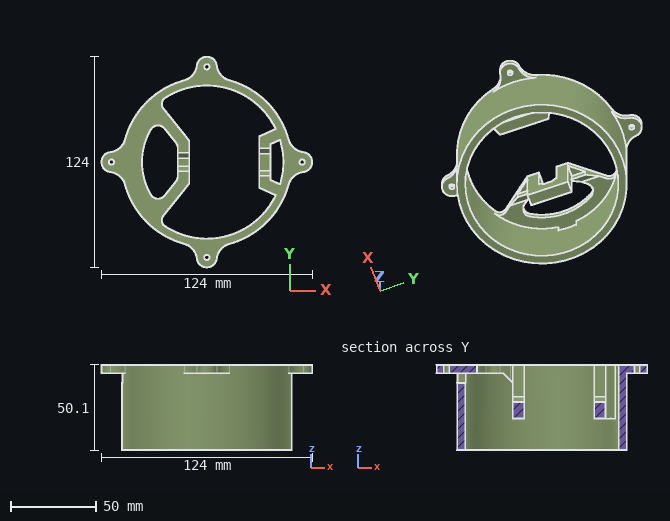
import cadquery as cq
import math

outer_radius = 50.0
inner_radius = 45.0
height = 50.1

overall_size = 124.0
ear_radius = 6.0
ear_blend_radius = 10.0
ear_thickness = 5.0
ear_hole_radius = 1.5
ear_center = overall_size / 2 - ear_radius

clip_thickness = 6.8
clip_depth = 31.5
slot_depth = 21.7
slot_chamfer = 3.1

left_face_x = -10.3
left_half_width = 12.6
left_slot_half_width = 5.5
left_arm_width = 7.0
left_arm_angle = math.radians(51.2)
web_thickness = ear_thickness
gusset_size = 5.5
web_fillet = 4.3
window_radius = 38.0
window_fillet = 5.0
window_corner_fillet = 6.0
left_back_x = left_face_x - clip_thickness

right_face_x = 30.7
right_half_width = 15.1
right_back_half_width = 10.5
right_slot_half_width = 8.0
right_arm_angle = math.radians(24.5)

wall_opening_half_width = 5.6
wall_opening_bottom = 10.5


def disk(radius, depth):
    return cq.Workplane("XY").circle(radius).extrude(-depth)


def flared_prism(tip_x, tip_half_width, angle, end_x, depth):
    """Trapezoid prism widening from the tip towards end_x."""
    end_half_width = tip_half_width + abs(end_x - tip_x) * math.tan(angle)
    outline = [
        (tip_x, tip_half_width),
        (end_x, end_half_width),
        (end_x, -end_half_width),
        (tip_x, -tip_half_width),
    ]
    return cq.Workplane("XY").polyline(outline).close().extrude(-depth)


def rim_crossing_x(tip_x, tip_half_width, angle, radius):
    """X where an edge slanting outward towards -X meets a circle around the origin."""
    normal_distance = tip_x * math.sin(angle) + tip_half_width * math.cos(angle)
    half_chord = math.sqrt(radius**2 - normal_distance**2)
    return normal_distance * math.sin(angle) - half_chord * math.cos(angle)


def ear():
    """Ear on the +X side, blended tangentially into the ring."""
    blend_to_ring = outer_radius + ear_blend_radius
    blend_to_ear = ear_radius + ear_blend_radius
    blend_x = (blend_to_ring**2 - blend_to_ear**2 + ear_center**2) / (2 * ear_center)
    blend_y = math.sqrt(blend_to_ring**2 - blend_x**2)
    ring_x = blend_x * outer_radius / blend_to_ring
    ring_y = blend_y * outer_radius / blend_to_ring
    tip_x = ear_center + (blend_x - ear_center) * ear_radius / blend_to_ear
    tip_y = blend_y * ear_radius / blend_to_ear
    mid_dx = (ring_x + tip_x) / 2 - blend_x
    mid_dy = (ring_y + tip_y) / 2 - blend_y
    mid_scale = ear_blend_radius / math.hypot(mid_dx, mid_dy)
    mid_x = blend_x + mid_dx * mid_scale
    mid_y = blend_y + mid_dy * mid_scale
    return (
        cq.Workplane("XY")
        .moveTo(ring_x, ring_y)
        .threePointArc((mid_x, mid_y), (tip_x, tip_y))
        .threePointArc((ear_center + ear_radius, 0), (tip_x, -tip_y))
        .threePointArc((mid_x, -mid_y), (ring_x, -ring_y))
        .lineTo(inner_radius, 0)
        .close()
        .extrude(-ear_thickness)
    )


def clip_slot(face_x, half_width):
    """Slot open at the top, with chamfered bottom corners, cut along X."""
    floor_half_width = half_width - slot_chamfer
    outline = [
        (-half_width, 0),
        (-half_width, slot_chamfer - slot_depth),
        (-floor_half_width, -slot_depth),
        (floor_half_width, -slot_depth),
        (half_width, slot_chamfer - slot_depth),
        (half_width, 0),
    ]
    return (
        cq.Workplane("YZ", origin=(face_x - clip_thickness, 0, 0))
        .polyline(outline)
        .close()
        .extrude(2 * clip_thickness)
    )


def left_web(depth):
    """Web with slanted arms, filleted into the ring and around its window."""
    full_disk = disk(outer_radius, depth)
    arms = flared_prism(left_face_x, left_half_width, left_arm_angle, -outer_radius, depth)
    opening = disk(inner_radius, depth).cut(arms)
    opening = opening.edges("|Z").edges("<X").fillet(web_fillet)

    window_half_width = (
        left_half_width
        + clip_thickness * math.tan(left_arm_angle)
        - left_arm_width / math.cos(left_arm_angle)
    )
    window = disk(window_radius, depth).intersect(
        flared_prism(left_back_x, window_half_width, left_arm_angle, -outer_radius, depth)
    )
    front_corners = window.edges("|Z").edges(">X").vals()
    window = window.newObject(front_corners).fillet(window_corner_fillet)
    arc_corner_x = rim_crossing_x(left_back_x, window_half_width, left_arm_angle, window_radius)
    arc_corner_y = math.sqrt(window_radius**2 - arc_corner_x**2)
    for corner_y in (-arc_corner_y, arc_corner_y):
        nearest = cq.selectors.NearestToPointSelector((arc_corner_x, corner_y, -depth / 2))
        window = window.edges("|Z").edges(nearest).fillet(window_fillet)
    return full_disk.cut(opening).cut(window)


def left_clip():
    web = left_web(web_thickness)
    gusset_profile = [
        (left_back_x, 0),
        (left_back_x, -web_thickness - gusset_size),
        (left_back_x - gusset_size, -web_thickness),
        (left_back_x - gusset_size, 0),
    ]
    gusset_zone = (
        cq.Workplane("XZ").polyline(gusset_profile).close().extrude(outer_radius, both=True)
    )
    gusset = left_web(web_thickness + gusset_size).intersect(gusset_zone)
    block = (
        cq.Workplane("XY", origin=(left_back_x, 0, -clip_depth))
        .box(clip_thickness, 2 * left_half_width, clip_depth, centered=(False, True, False))
    )
    return web.union(gusset).union(block).cut(clip_slot(left_face_x, left_slot_half_width))


def right_clip():
    body = flared_prism(right_face_x, right_half_width, right_arm_angle, outer_radius, clip_depth)
    window = flared_prism(
        right_face_x + clip_thickness, right_back_half_width, right_arm_angle, outer_radius, clip_depth
    )
    body = body.cut(window).intersect(disk(outer_radius, clip_depth))
    return body.cut(clip_slot(right_face_x, right_slot_half_width))


def wall_opening():
    length = outer_radius - window_radius
    opening_height = wall_opening_bottom - web_thickness
    return (
        cq.Workplane("XY", origin=(-outer_radius, 0, -wall_opening_bottom))
        .box(length, 2 * wall_opening_half_width, opening_height, centered=(False, True, False))
    )


ring = disk(outer_radius, height).cut(disk(inner_radius, height))
result = ring.union(left_clip()).union(right_clip())
for quarter in range(4):
    result = result.union(ear().rotate((0, 0, 0), (0, 0, 1), 90 * quarter))
ear_holes = (
    cq.Workplane("XY")
    .polarArray(ear_center, 0, 360, 4)
    .circle(ear_hole_radius)
    .extrude(-ear_thickness)
)
result = result.cut(ear_holes).cut(wall_opening())